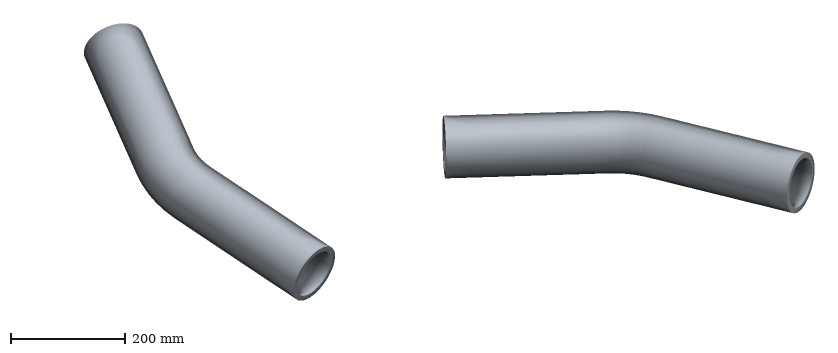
import cadquery as cq
import math

outer_diameter = 110.0
bore_diameter = 90.0
overall_length = 643.0
bend_radius = 1.5 * outer_diameter
bend_angle = 30.0

bend_sine = math.sin(math.radians(bend_angle))
bend_cosine = math.cos(math.radians(bend_angle))
leg_length = (overall_length - (bend_radius + outer_diameter / 2) * bend_sine) / (1 + bend_cosine)


def bend_point(angle_degrees):
    """Point on the bend centreline after turning through the given angle."""
    angle = math.radians(angle_degrees)
    return (
        leg_length + bend_radius * math.sin(angle),
        bend_radius * (1 - math.cos(angle)),
    )


bend_end = bend_point(bend_angle)
far_end = (
    bend_end[0] + leg_length * bend_cosine,
    bend_end[1] + leg_length * bend_sine,
)
centreline = (
    cq.Workplane("XY")
    .lineTo(leg_length, 0)
    .threePointArc(bend_point(bend_angle / 2), bend_end)
    .lineTo(*far_end)
)

result = (
    cq.Workplane("YZ")
    .circle(outer_diameter / 2)
    .circle(bore_diameter / 2)
    .sweep(centreline)
)